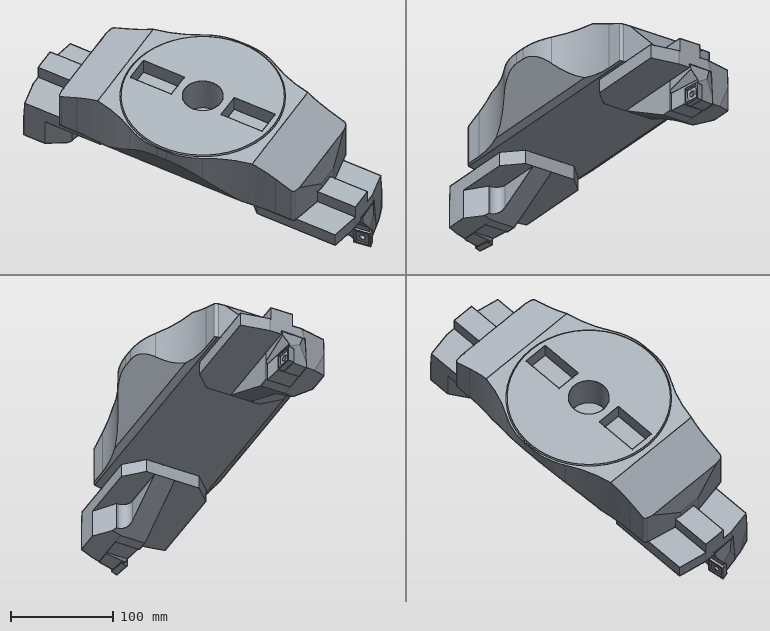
import cadquery as cq
import math


HALF_LENGTH = 190.0
TOP_Z = 62.0
OVERALL_HEIGHT = 114.0
OUTER_X = -HALF_LENGTH - 3.8
BOTTOM_Z = TOP_Z - OVERALL_HEIGHT
FAR = 456.0

BOSS_DIA = 162.0
BOSS_HEIGHT = 1.0
BOSS_TAPER = 45.0
DECK_Z = TOP_Z - BOSS_HEIGHT
DECK_HALF_LENGTH = 86.5
BRIDGE_HALF_LENGTH = 140.0
SHOULDER_X = 133.5
SHOULDER_Z = 41.0
END_FLAT_TOP_Z = 20.5
END_FLAT_HALF_WIDTH = 12.0
ARM_HALF_WIDTH = 53.2
ARM_CORNER_X = 131.5
ARM_CORNER_RADIUS = 3.5
ARM_STRAIGHT_END_X = 111.5
HUB_HALF_WIDTH = 82.0
HUB_FLAT_HALF_LENGTH = 5.5
FLARE_INFLECTION_X = 40.5
BELLY_HALF_WIDTH = 51.3
BELLY_KNEE_Y = 57.8
BELLY_KNEE_Z = 4.5
BELLY_TOP_Z = 49.0
BORE_DIA = 40.0
BORE_DEPTH = 38.0
DRIVE_SLOT_LENGTH = 46.0
DRIVE_SLOT_WIDTH = 26.2
DRIVE_SLOT_DEPTH = 16.7
DRIVE_SLOT_X = 51.0

CARTRIDGE_END_X = -181.2
CARTRIDGE_INNER_X = -72.5
PLATE_BOTTOM_Z = -15.0
PLATE_BACK_Y = 48.5
PLATE_FRONT_Y = -43.0
PLATE_BACK_CHAMFER = 15.5
PLATE_FRONT_CHAMFER = 18.2
PLATE_BACK_END_X = -176.0
PLATE_END_FLAT_Y = 18.5
KEY_BACK_Y = 18.0
KEY_FRONT_Y = -6.0
KEY_HEIGHT = 14.0
LEG_BOTTOM_Z = -48.0
LEG_FRONT_BOTTOM_Z = -45.5
LEG_SLOPE_END_X = -136.8
LEG_SLANT_START_X = -152.7
LEG_STEP_X = -131.0
LEG_STEP_Y = -27.7
LEG_FILLET_RADIUS = 10.5
WEB_FRONT_Y = -15.5
LEG_FRONT_EDGE_X = -175.5
LEG_END_YAW = 0.21
LEG_END_DRAFT = 0.06
CORNER_RELIEF_X = -176.5
CORNER_RELIEF_YAW = 0.34

NOSE_INNER_X = -148.0
NOSE_TOP_Z = -11.5
NOSE_FRONT_Y = -20.0
NOSE_BACK_Y = 6.5
NOSE_PEAK = (-184.5, -12.0, -23.5)
UPPER_FACET_YAW = 0.05
UPPER_FACET_DRAFT = 0.25
FLANK_FACET_YAW = 0.2
CORNER_FACET_YAW = 0.42
CORNER_FACET_DRAFT = 0.1
SHOE_BOTTOM_Z = -50.0
SHOE_START_X = -166.8
SHOE_FULL_X = -169.5
SHOE_RELIEF = 0.07
RAKE_ANGLE = 7.0
RAKE_START_Y = 5.0
RAKE_TOP_Z = -28.5
RAKE_CEILING_SLOPE = 1.8
GULLET_OVERRUN = 3.8
GULLET_REACH = 22.8

INSERT_SIDE = 18.2
INSERT_THICKNESS = 7.0
INSERT_CLEARANCE = 7.0
INSERT_TIP_Y = 2.85
INSERT_LEAD_ANGLE = 1.0
INSERT_HOLE_DIA = 6.0
BREAKER_SIDE = 15.0
BREAKER_DEPTH = 1.0
BREAKER_TAPER = 45.0


def beyond(point, outward):
    """Everything on the outward side of the plane through point."""
    return cq.Workplane(cq.Plane(origin=point, normal=outward)).rect(FAR, FAR).extrude(FAR)


def beyond_end(point, yaw, draft):
    """Everything past an end face that leans toward -X by yaw per Y and by draft per depth."""
    return beyond(point, (-1, -yaw, draft))


def half_turn(body):
    return body.rotate((0, 0, 0), (0, 0, 1), 180)


def bridge_plan():
    """Arms flaring through tangent S-curves into the wide hub."""
    run = ARM_STRAIGHT_END_X - HUB_FLAT_HALF_LENGTH
    rise = HUB_HALF_WIDTH - ARM_HALF_WIDTH
    inflection_y = ARM_HALF_WIDTH + (ARM_STRAIGHT_END_X - FLARE_INFLECTION_X) * rise / run
    quarter = (
        cq.Workplane("XY")
        .lineTo(BRIDGE_HALF_LENGTH, 0)
        .lineTo(BRIDGE_HALF_LENGTH, END_FLAT_HALF_WIDTH)
        .lineTo(ARM_CORNER_X, ARM_HALF_WIDTH)
        .lineTo(ARM_STRAIGHT_END_X, ARM_HALF_WIDTH)
        .tangentArcPoint((FLARE_INFLECTION_X, inflection_y), relative=False)
        .tangentArcPoint((HUB_FLAT_HALF_LENGTH, HUB_HALF_WIDTH), relative=False)
        .lineTo(0, HUB_HALF_WIDTH)
        .close()
        .extrude(DECK_Z)
    )
    corner = cq.selectors.NearestToPointSelector((ARM_CORNER_X, ARM_HALF_WIDTH, DECK_Z / 2))
    quarter = quarter.edges(corner).fillet(ARM_CORNER_RADIUS)
    half = quarter.union(quarter.mirror("XZ"))
    return half.union(half.mirror("YZ"))


def mirrored_outline(plane, right_side):
    """Closed outline made of right_side and its mirror image across the vertical axis."""
    left_side = [(-u, v) for u, v in reversed(right_side)]
    return cq.Workplane(plane).polyline(right_side + left_side).close()


def key_bar():
    """Key along the top of a cartridge, which also forms its groove in the bridge."""
    length = CARTRIDGE_INNER_X - CARTRIDGE_END_X
    width = KEY_BACK_Y - KEY_FRONT_Y
    key = cq.Workplane("XY").box(length, width, KEY_HEIGHT, centered=False)
    return key.translate((CARTRIDGE_END_X, KEY_FRONT_Y, 0))


def make_bridge():
    side_profile = mirrored_outline("XZ", [
        (BRIDGE_HALF_LENGTH, 0),
        (BRIDGE_HALF_LENGTH, END_FLAT_TOP_Z),
        (SHOULDER_X, SHOULDER_Z),
        (DECK_HALF_LENGTH, DECK_Z),
    ]).extrude(FAR / 2, both=True)
    cross_section = mirrored_outline("YZ", [
        (BELLY_HALF_WIDTH, 0),
        (BELLY_KNEE_Y, BELLY_KNEE_Z),
        (HUB_HALF_WIDTH, BELLY_TOP_Z),
        (HUB_HALF_WIDTH, DECK_Z),
    ]).extrude(FAR / 2, both=True)
    body = bridge_plan().intersect(side_profile).intersect(cross_section)

    boss = (
        cq.Workplane("XY").workplane(offset=DECK_Z)
        .circle(BOSS_DIA / 2)
        .extrude(BOSS_HEIGHT, taper=BOSS_TAPER)
    )
    bore = cq.Workplane("XY").workplane(offset=TOP_Z).circle(BORE_DIA / 2).extrude(-BORE_DEPTH)
    drive_slots = (
        cq.Workplane("XY").workplane(offset=TOP_Z)
        .pushPoints([(-DRIVE_SLOT_X, 0), (DRIVE_SLOT_X, 0)])
        .rect(DRIVE_SLOT_LENGTH, DRIVE_SLOT_WIDTH)
        .extrude(-DRIVE_SLOT_DEPTH)
    )
    body = body.union(boss).cut(bore).cut(drive_slots)
    return body.cut(key_bar()).cut(half_turn(key_bar()))


def insert_plane():
    """Rake face of the insert: local x runs inward from the tip, local y downward."""
    rake = math.radians(RAKE_ANGLE)
    lead = math.radians(INSERT_LEAD_ANGLE)
    inward = (math.cos(rake) * math.cos(lead), math.sin(rake) * math.cos(lead), -math.sin(lead))
    outward = (-math.sin(rake), math.cos(rake), 0)
    tip_z = BOTTOM_Z + INSERT_SIDE * math.sin(lead)
    return cq.Plane(origin=(-HALF_LENGTH, INSERT_TIP_Y, tip_z), xDir=inward, normal=outward)


def insert_blank():
    """Square insert narrowing behind its rake face."""
    middle = INSERT_SIDE / 2
    return (
        cq.Workplane(insert_plane()).center(middle, -middle)
        .rect(INSERT_SIDE, INSERT_SIDE)
        .extrude(-INSERT_THICKNESS, taper=INSERT_CLEARANCE)
    )


def make_insert():
    middle = INSERT_SIDE / 2
    face = cq.Workplane(insert_plane()).center(middle, -middle)
    breaker = face.rect(BREAKER_SIDE, BREAKER_SIDE).extrude(-BREAKER_DEPTH, taper=BREAKER_TAPER)
    hole = face.circle(INSERT_HOLE_DIA / 2).extrude(-INSERT_THICKNESS)
    return insert_blank().cut(breaker).cut(hole)


def nose_blank():
    profile = [
        (NOSE_INNER_X, NOSE_TOP_Z),
        (NOSE_INNER_X, LEG_BOTTOM_Z),
        (SHOE_START_X, LEG_BOTTOM_Z),
        (SHOE_FULL_X, SHOE_BOTTOM_Z),
        (OUTER_X, SHOE_BOTTOM_Z),
        (OUTER_X, NOSE_TOP_Z),
    ]
    return (
        cq.Workplane("XZ", origin=(0, NOSE_BACK_Y, 0))
        .polyline(profile).close()
        .extrude(NOSE_BACK_Y - NOSE_FRONT_Y)
    )


def rake_gullet():
    """Space in front of the insert seat: slanted ceiling above a tilted floor."""
    rake = math.radians(RAKE_ANGLE)
    along = (-math.cos(rake), -math.sin(rake), 0)
    away = (-math.sin(rake), math.cos(rake), 0)
    start = cq.Plane(origin=(NOSE_INNER_X, RAKE_START_Y, RAKE_TOP_Z), xDir=away, normal=along)
    profile = [(0, 0), (GULLET_REACH, -GULLET_REACH * RAKE_CEILING_SLOPE), (GULLET_REACH, FAR), (0, FAR)]
    return cq.Workplane(start).workplane(offset=-GULLET_OVERRUN).polyline(profile).close().extrude(FAR)


def make_nose():
    upper_facet = beyond_end(NOSE_PEAK, UPPER_FACET_YAW, UPPER_FACET_DRAFT)
    flank_facet = beyond_end(NOSE_PEAK, FLANK_FACET_YAW, 0)
    corner_facet = beyond_end(NOSE_PEAK, CORNER_FACET_YAW, CORNER_FACET_DRAFT)
    bottom_relief = beyond((0, 0, SHOE_BOTTOM_Z), (0, -SHOE_RELIEF, -1))
    nose = nose_blank()
    for waste in (upper_facet, flank_facet, corner_facet, bottom_relief, rake_gullet(), insert_blank()):
        nose = nose.cut(waste)
    return nose


def cartridge_plate():
    plan = [
        (CARTRIDGE_END_X, PLATE_FRONT_Y),
        (CARTRIDGE_INNER_X - PLATE_FRONT_CHAMFER, PLATE_FRONT_Y),
        (CARTRIDGE_INNER_X, PLATE_FRONT_Y + PLATE_FRONT_CHAMFER),
        (CARTRIDGE_INNER_X, PLATE_BACK_Y - PLATE_BACK_CHAMFER),
        (CARTRIDGE_INNER_X - PLATE_BACK_CHAMFER, PLATE_BACK_Y),
        (PLATE_BACK_END_X, PLATE_BACK_Y),
        (CARTRIDGE_END_X, PLATE_END_FLAT_Y),
    ]
    return cq.Workplane("XY").polyline(plan).close().extrude(PLATE_BOTTOM_Z)


def cartridge_leg():
    fillet_start = (LEG_STEP_X, WEB_FRONT_Y - LEG_FILLET_RADIUS)
    fillet_end = (LEG_STEP_X + LEG_FILLET_RADIUS, WEB_FRONT_Y)
    plan = (
        cq.Workplane("XY")
        .moveTo(OUTER_X, PLATE_FRONT_Y)
        .lineTo(LEG_SLANT_START_X, PLATE_FRONT_Y)
        .lineTo(LEG_STEP_X, LEG_STEP_Y)
        .lineTo(*fillet_start)
        .radiusArc(fillet_end, LEG_FILLET_RADIUS)
        .lineTo(CARTRIDGE_INNER_X, WEB_FRONT_Y)
        .lineTo(CARTRIDGE_INNER_X, NOSE_BACK_Y)
        .lineTo(NOSE_INNER_X, NOSE_BACK_Y)
        .lineTo(NOSE_INNER_X, NOSE_FRONT_Y)
        .lineTo(OUTER_X, NOSE_FRONT_Y)
        .close()
        .extrude(LEG_BOTTOM_Z)
    )
    profile = (
        cq.Workplane("XZ")
        .polyline([
            (OUTER_X, 0),
            (CARTRIDGE_INNER_X, 0),
            (CARTRIDGE_INNER_X, PLATE_BOTTOM_Z),
            (LEG_SLOPE_END_X, LEG_BOTTOM_Z),
            (OUTER_X, LEG_BOTTOM_Z),
        ])
        .close()
        .extrude(FAR / 2, both=True)
    )
    bottom_slope = (LEG_FRONT_BOTTOM_Z - LEG_BOTTOM_Z) / (NOSE_FRONT_Y - PLATE_FRONT_Y)
    bottom_relief = beyond((0, PLATE_FRONT_Y, LEG_FRONT_BOTTOM_Z), (0, -bottom_slope, -1))
    corner_relief = beyond_end((CORNER_RELIEF_X, PLATE_FRONT_Y, 0), CORNER_RELIEF_YAW, 0)
    return plan.intersect(profile).cut(bottom_relief).cut(corner_relief)


def make_cartridge():
    leaning_end = beyond_end((LEG_FRONT_EDGE_X, PLATE_FRONT_Y, 0), LEG_END_YAW, LEG_END_DRAFT)
    plate = cartridge_plate().union(key_bar()).cut(leaning_end)
    leg = cartridge_leg().cut(leaning_end)
    return plate.union(leg).cut(nose_blank())


bridge = make_bridge()
bodies = bridge.solids().vals()
for make_body in (make_cartridge, make_nose, make_insert):
    near_body = make_body()
    bodies += near_body.solids().vals() + half_turn(near_body).solids().vals()

result = cq.Compound.makeCompound(bodies)